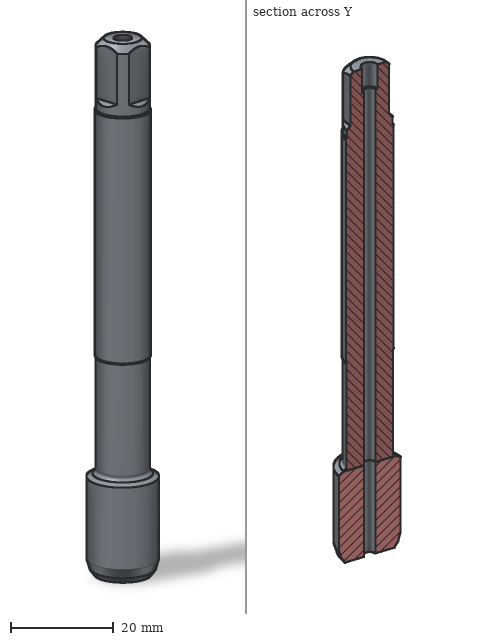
import cadquery as cq
import math

total_length = 110.0

head_radius = 14.2 / 2
head_length = 20.7
head_shoulder_z = 20.0
lead_start_z = 3.2
lead_end_z = 1.2
lead_end_radius = 6.5
tip_radius = 5.6

shank_radius = 11.0 / 2
relief_radius = 10.7 / 2
neck_radius = 10.6 / 2
flare_radius = 1.3
flare_length = 1.1
relief_top_z = 44.7
shank_edge_chamfer = 0.3
neck_start_z = 95.6
end_chamfer = 1.5
head_top_radius = relief_radius + flare_radius - math.sqrt(flare_radius**2 - flare_length**2)

square_width = 8.9
flats_bottom_z = 98.0

bore_diameter = 2.5
counterbore_diameter = 3.5
counterbore_depth = 5.5


def make_head():
    """Cutting head with a chamfered shoulder and a two-stage tapered tip."""
    profile = (
        cq.Workplane("XZ")
        .moveTo(0, 0)
        .lineTo(tip_radius, 0)
        .lineTo(lead_end_radius, lead_end_z)
        .lineTo(head_radius, lead_start_z)
        .lineTo(head_radius, head_shoulder_z)
        .lineTo(head_top_radius, head_length)
        .lineTo(0, head_length)
        .close()
    )
    head = profile.revolve(360, (0, 0), (0, 1))
    bore = cq.Workplane("XY").circle(bore_diameter / 2).extrude(head_length)
    return head.cut(bore)


def make_shank_blank():
    """Stepped round shank, flared where it stands on the head."""
    profile = (
        cq.Workplane("XZ")
        .moveTo(0, head_length)
        .lineTo(head_top_radius, head_length)
        .radiusArc((relief_radius, head_length + flare_length), flare_radius)
        .lineTo(relief_radius, relief_top_z)
        .lineTo(shank_radius, relief_top_z + shank_edge_chamfer)
        .lineTo(shank_radius, neck_start_z - shank_edge_chamfer)
        .lineTo(neck_radius, neck_start_z)
        .lineTo(neck_radius, total_length - end_chamfer)
        .lineTo(neck_radius - end_chamfer, total_length)
        .lineTo(0, total_length)
        .close()
    )
    return profile.revolve(360, (0, 0), (0, 1))


def make_flat_cutter():
    """Material removed for the flat on the +X side, with a 45 degree floor."""
    flat_x = square_width / 2
    outer_x = shank_radius
    return (
        cq.Workplane("XZ")
        .moveTo(flat_x, flats_bottom_z)
        .lineTo(outer_x, flats_bottom_z - (outer_x - flat_x))
        .lineTo(outer_x, total_length)
        .lineTo(flat_x, total_length)
        .close()
        .extrude(shank_radius, both=True)
    )


def make_shank():
    """Shank with its square drive and coolant bore."""
    shank = make_shank_blank()
    for side in range(4):
        shank = shank.cut(make_flat_cutter().rotate((0, 0, 0), (0, 0, 1), 90 * side))
    return (
        shank.faces(">Z")
        .workplane(origin=(0, 0, total_length))
        .cboreHole(bore_diameter, counterbore_diameter, counterbore_depth)
    )


head = make_head()
shank = make_shank()

result = cq.Compound.makeCompound([head.val(), shank.val()])